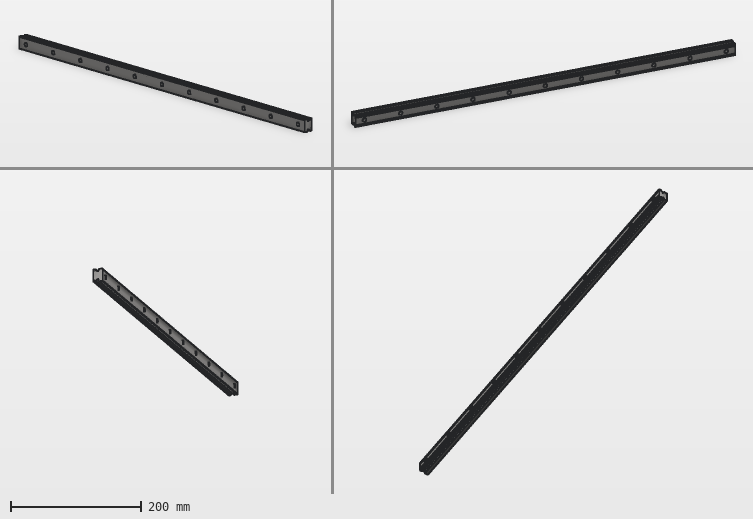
import cadquery as cq
import math

LENGTH = 630.0
HEIGHT = 15.5
WIDTH = 20.0

BASE_CHAMFER = 0.8
BASE_THICKNESS = 5.7

WALL_DEPTH = 3.75
WALL_RUN = 1.6
FLOOR_RUN = 4.4
FLOOR_ANGLE = 30.5

HEAD_CHAMFER = 1.0
TRACK_OFFSET = 7.4
TRACK_RADIUS = 1.6
TRACK_DEPTH = 0.6

HOLE_DIAMETER = 6.0
HOLE_PITCH = 60.0
HOLE_COUNT = 11


def rail_body():
    """Extrude the symmetric rail section along X, centred on the origin."""
    bottom = -HEIGHT / 2
    top = HEIGHT / 2
    half_width = WIDTH / 2
    base_top = bottom + BASE_THICKNESS
    wall_foot = base_top + WALL_RUN
    neck = half_width - WALL_DEPTH
    head_start = wall_foot + FLOOR_RUN
    floor_end = neck + FLOOR_RUN * math.tan(math.radians(FLOOR_ANGLE))
    flank = [
        (bottom, half_width - BASE_CHAMFER),
        (bottom + BASE_CHAMFER, half_width),
        (base_top, half_width),
        (wall_foot, neck),
        (head_start, floor_end),
        (head_start, half_width),
        (top - HEAD_CHAMFER, half_width),
        (top, half_width - HEAD_CHAMFER),
    ]
    mirrored_flank = [(y, -z) for y, z in reversed(flank)]
    section = cq.Workplane("YZ").polyline(flank + mirrored_flank).close()
    return section.extrude(LENGTH / 2, both=True)


def ball_tracks():
    """Pair of full-length cylinders that hollow the two tracks into the head."""
    axis_height = HEIGHT / 2 - TRACK_DEPTH + TRACK_RADIUS
    return (
        cq.Workplane("YZ")
        .pushPoints([(axis_height, side * TRACK_OFFSET) for side in (-1, 1)])
        .circle(TRACK_RADIUS)
        .extrude(LENGTH, both=True)
    )


def mounting_holes():
    """Row of cylinders along the rail centreline, longer than the rail is high."""
    return (
        cq.Workplane("XZ")
        .rarray(HOLE_PITCH, 1, HOLE_COUNT, 1)
        .circle(HOLE_DIAMETER / 2)
        .extrude(HEIGHT, both=True)
    )


result = rail_body().cut(ball_tracks()).cut(mounting_holes())